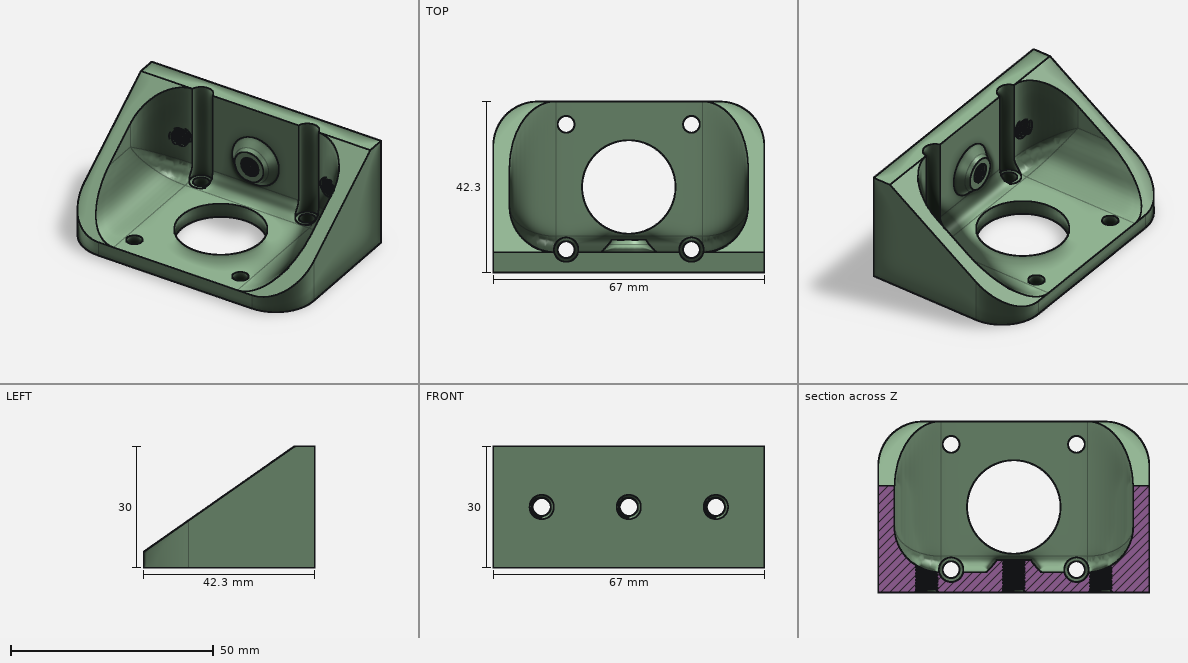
import cadquery as cq

width = 67.0
depth = 42.3
height = 30.0
back_corner_radius = 11.05
front_y = -depth / 2
back_y = depth / 2

floor_thickness = 3.95
side_wall = 4.0
front_wall = 5.0
pocket_front_y = front_y + front_wall
pocket_radius = 11.4
pocket_front_fillet = 4.0

mount_spacing = 30.95
mount_hole_diameter = 4.1
head_clearance_diameter = 6.0
motor_bore_diameter = 23.05

thread_spacing = 21.5
thread_z = height / 2
thread_pitch = 0.8
thread_start = 0.55
thread_minor_radius = 2.2
thread_major_radius = 2.7
thread_root_width = 0.15
thread_mouth_share = 0.9
thread_overlap = 0.1
thread_mouth_radius = 3.0
bore_length = 10.05

boss_base_radius = 6.85
boss_step_radius = 4.95
boss_tip_radius = 4.2
boss_step_length = 2.0
boss_length = 3.1
boss_root = 0.7


def make_wedge():
    profile = [
        (front_y, 0),
        (back_y, 0),
        (back_y, floor_thickness),
        (pocket_front_y, height),
        (front_y, height),
    ]
    wedge = cq.Workplane("YZ").polyline(profile).close().extrude(width / 2, both=True)
    return wedge.edges("|Z and >Y").fillet(back_corner_radius)


def make_pocket():
    """Cutter open at the back: a round-sided trough limited in plan by round front corners."""
    block = cq.Workplane("XY", origin=(0, pocket_front_y + depth / 2, floor_thickness)).box(
        width - 2 * side_wall, depth, height, centered=(True, True, False)
    )
    trough = block.edges("|Y and <Z").fillet(pocket_radius)
    plan = block.edges("|Z and <Y").fillet(pocket_radius)
    front_bottom_edge = cq.selectors.NearestToPointSelector((0, pocket_front_y, floor_thickness))
    return trough.intersect(plan).edges(front_bottom_edge).fillet(pocket_front_fillet)


def make_boss():
    """Stepped cone from the pocket's front wall, starting inside the wall."""
    step_y = pocket_front_y + boss_step_length
    tip_y = pocket_front_y + boss_length
    root_y = pocket_front_y - boss_root
    profile = [
        (root_y, 0),
        (root_y, boss_base_radius),
        (pocket_front_y, boss_base_radius),
        (step_y, boss_step_radius),
        (tip_y, boss_tip_radius),
        (tip_y, 0),
    ]
    cone = cq.Workplane("YZ").polyline(profile).close().revolve(360, (0, 0), (1, 0))
    return cone.translate((0, 0, thread_z))


def cut_mounting(body):
    """Motor bore, four screw holes, and screw-head clearance above the two front holes."""
    half = mount_spacing / 2
    underside = cq.Workplane("XY")
    bore = underside.circle(motor_bore_diameter / 2).extrude(height)
    holes = (
        underside.rect(mount_spacing, mount_spacing, forConstruction=True)
        .vertices()
        .circle(mount_hole_diameter / 2)
        .extrude(height)
    )
    heads = (
        underside.workplane(offset=floor_thickness)
        .pushPoints([(-half, -half), (half, -half)])
        .circle(head_clearance_diameter / 2)
        .extrude(height)
    )
    return body.cut(bore).cut(holes).cut(heads)


def make_bore():
    """Plain bore with a 45-degree countersink, along +Y from the origin."""
    mouth_depth = thread_mouth_radius - thread_minor_radius
    profile = [
        (0, 0),
        (0, thread_mouth_radius),
        (mouth_depth, thread_minor_radius),
        (bore_length, thread_minor_radius),
        (bore_length, 0),
    ]
    return cq.Workplane("YZ").polyline(profile).close().revolve(360, (0, 0), (1, 0))


def make_thread_groove():
    """Helical V groove around +Y, with its open side reaching into the bore."""
    inner_radius = thread_minor_radius - thread_overlap
    half_mouth = thread_pitch * thread_mouth_share / 2
    half_root = thread_root_width / 2
    helix = cq.Wire.makeHelix(thread_pitch, bore_length, inner_radius)
    groove = (
        cq.Workplane("XZ")
        .polyline(
            [
                (inner_radius, -half_mouth),
                (thread_major_radius, -half_root),
                (thread_major_radius, half_root),
                (inner_radius, half_mouth),
            ]
        )
        .close()
        .sweep(cq.Workplane(helix), isFrenet=True)
    )
    groove = groove.rotate((0, 0, 0), (1, 0, 0), -90).rotate((0, 0, 0), (0, 1, 0), 90)
    return groove.translate((0, thread_start, 0))


def cut_threaded_holes(body):
    threaded_hole = make_bore().union(make_thread_groove())
    for x in (-thread_spacing, 0, thread_spacing):
        body = body.cut(threaded_hole.translate((x, front_y, thread_z)))
    return body


body = make_wedge().cut(make_pocket()).union(make_boss())
body = cut_mounting(body)
result = cut_threaded_holes(body)